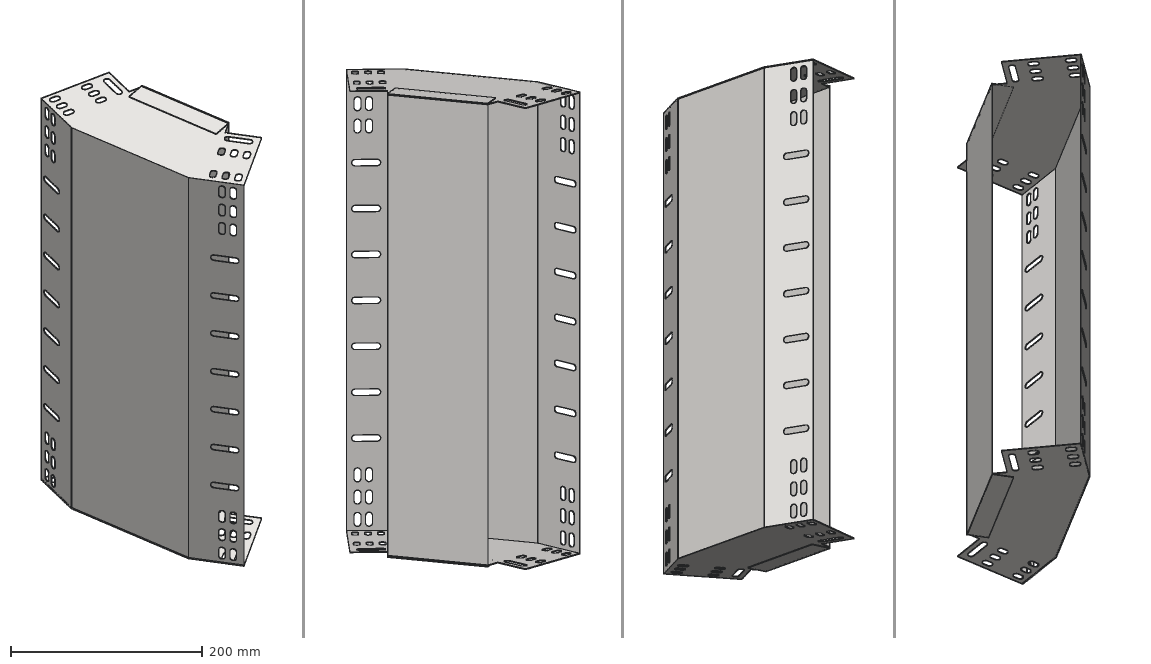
import cadquery as cq
import math

sheet = 1.0
total_height = 503.0
total_depth = 101.0
total_width = 260.0
front_width = 150.0
wing_angle = 22.5
cover_width = 111.5
cover_flange = 23.5

ear_length = 84.5
ear_width = 39.0

slot_width = 7.0
long_slot_length = 30.0
long_slot_inset = 20.5
long_slot_pitch = 50.0
long_slot_count = 7
joint_slot_length = 15.0
joint_slot_insets = (11.5, 23.5)
joint_slot_pitch = 24.0
joint_slot_count = 3
joint_slot_end_gap = 13.0

plate_slot_length = 12.0
plate_slot_inset = 8.5
plate_slot_pitch = 13.5
plate_slot_count = 3
plate_row_depths = (12.0, 52.0)
ear_slot_inset = 22.5
ear_slot_depth = 75.0

tray_height = total_height - 2 * sheet
front_y = -total_depth / 2
cover_inner_y = total_depth / 2 - sheet
tip_x = total_width / 2
bend_x = front_width / 2
sweep = math.radians(wing_angle)
wing_length = (tip_x - bend_x) / math.cos(sweep)
tip_y = front_y + wing_length * math.sin(sweep)


def wing_point(inset, depth):
    """XY point on the +X side: inset from the wing tip along the wing, depth behind its outer face."""
    x = tip_x - inset * math.cos(sweep) - depth * math.sin(sweep)
    y = tip_y - inset * math.sin(sweep) + depth * math.cos(sweep)
    return x, y


def mirrored(points):
    """The same points on the -X side, in reverse order."""
    return [(-x, y) for x, y in reversed(points)]


def prism(half_outline, height):
    """Vertical prism, centred on Z = 0, whose outline is symmetric about X = 0."""
    outline = half_outline + mirrored(half_outline)
    return cq.Workplane("XY").polyline(outline).close().extrude(height / 2, both=True)


def tray_shell():
    """Front panel and both wings with an end plate at the top and the bottom."""
    notch = wing_point(ear_width, ear_length)
    notch_rise = (cover_inner_y - notch[1]) / math.cos(sweep)
    back_corner = wing_point(ear_width, ear_length + notch_rise)
    front_edge = [(bend_x, front_y), (tip_x, tip_y)]
    plate_outline = front_edge + [wing_point(0, ear_length), notch, back_corner]
    inner_bend_x = bend_x - sheet * math.tan(sweep / 2)
    wall_outline = front_edge + [wing_point(0, sheet), (inner_bend_x, front_y + sheet)]

    shell = prism(wall_outline, tray_height)
    end_plate = prism(plate_outline, sheet)
    for side in (-1, 1):
        shell = shell.union(end_plate.translate((0, 0, side * (tray_height - sheet) / 2)))
    return shell


def slot_cutter(plane, centres, length, angle, reach):
    """Round-ended slots at the centres, extruded by reach to both sides of the plane."""
    slots = cq.Workplane(plane).pushPoints(centres).slot2D(length, slot_width, angle)
    return slots.extrude(reach, both=True)


def wing_slot_cutters():
    """Cutters through the +X wing: a row of long slots and a joint pattern at each end."""
    wing_plane = cq.Plane(
        origin=(tip_x, tip_y, 0),
        xDir=(-math.cos(sweep), -math.sin(sweep), 0),
        normal=(math.sin(sweep), -math.cos(sweep), 0),
    )
    middle = (long_slot_count - 1) / 2
    long_centres = [(long_slot_inset, (i - middle) * long_slot_pitch) for i in range(long_slot_count)]
    first_joint = tray_height / 2 - joint_slot_end_gap
    joint_centres = [
        (inset, side * (first_joint - i * joint_slot_pitch))
        for side in (-1, 1)
        for inset in joint_slot_insets
        for i in range(joint_slot_count)
    ]
    return [
        slot_cutter(wing_plane, long_centres, long_slot_length, 0, sheet),
        slot_cutter(wing_plane, joint_centres, joint_slot_length, 90, sheet),
    ]


def end_plate_slot_cutters():
    """Cutters on the +X side that run through both end plates."""
    plate_centres = [
        wing_point(plate_slot_inset + i * plate_slot_pitch, depth)
        for depth in plate_row_depths
        for i in range(plate_slot_count)
    ]
    ear_centre = wing_point(ear_slot_inset, ear_slot_depth)
    reach = total_height / 2
    return [
        slot_cutter("XY", plate_centres, plate_slot_length, wing_angle + 90, reach),
        slot_cutter("XY", [ear_centre], long_slot_length, wing_angle, reach),
    ]


def make_tray():
    tray = tray_shell()
    for cutter in wing_slot_cutters() + end_plate_slot_cutters():
        tray = tray.cut(cutter).cut(cutter.mirror("YZ"))
    return tray


def make_cover():
    """Channel closing the back, with flanges lying on the outside of the tray end plates."""
    cover_centre_y = total_depth / 2 - cover_flange / 2
    block = cq.Workplane("XY").box(cover_width, cover_flange, total_height)
    hollow = cq.Workplane("XY").box(cover_width, cover_flange, tray_height).translate((0, -sheet, 0))
    return block.cut(hollow).translate((0, cover_centre_y, 0))


tray = make_tray()
cover = make_cover()

result = cq.Compound.makeCompound([tray.val(), cover.val()])